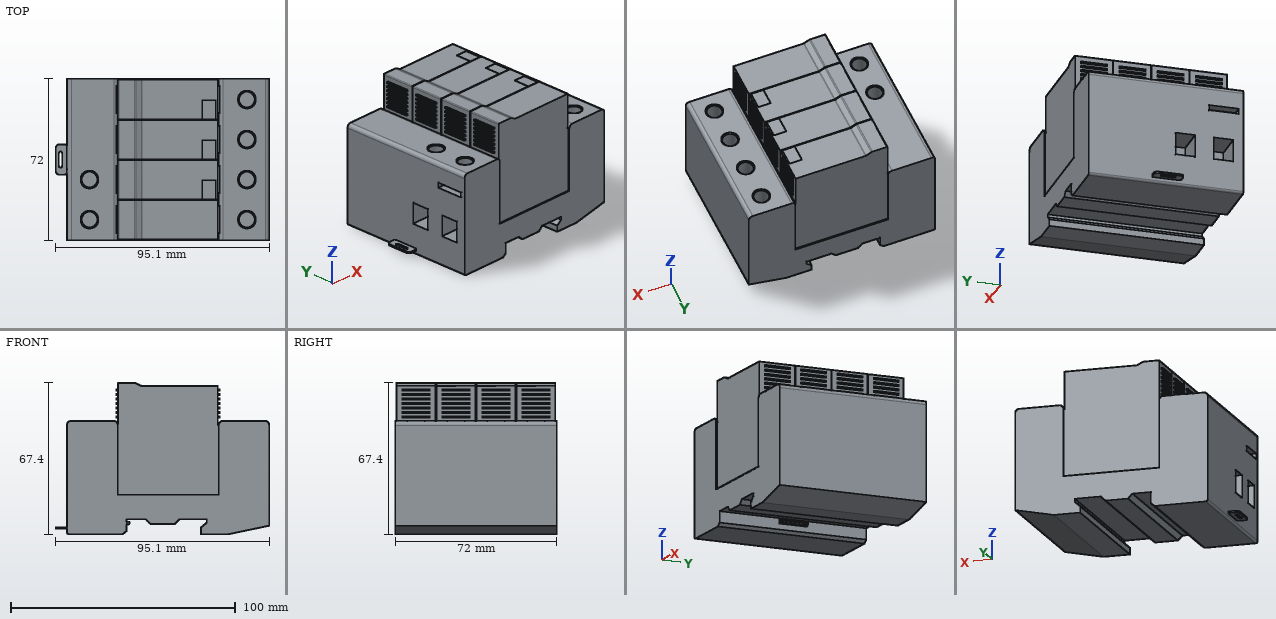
import cadquery as cq

TAB_REACH = 5.0
OVERALL_LENGTH = 95.08
BODY_LENGTH = OVERALL_LENGTH - TAB_REACH
BODY_WIDTH = 72.0
BODY_HEIGHT = 50.5
OVERALL_HEIGHT = 67.4
TOP_EDGE_RADIUS = 1.9
BOTTOM_EDGE_RADIUS = 1.0

CRADLE_LEFT = 22.75
CRADLE_LENGTH = 44.8
CRADLE_RIGHT = CRADLE_LEFT + CRADLE_LENGTH
CRADLE_FLOOR = 17.6

RAIL_ROOF = 6.6
RAIL_LEFT = 26.6
RAIL_RIGHT = 62.2
RAIL_LEFT_CHAMFER_LENGTH = 1.8
RAIL_LEFT_CHAMFER_HEIGHT = 1.4
RAIL_LIP_X = 59.7
RAIL_LIP_HEIGHT = 3.1
RAIL_LIP_TOP = 5.2
PAD_LEFT = 35.2
PAD_RIGHT = 50.1
PAD_DROP = 2.1
SLOPE_START_X = 72.0
SLOPE_END_HEIGHT = 3.8

MODULE_COUNT = 4
MODULE_GAP = 0.4
MODULE_PITCH = 17.8
MODULE_WIDTH = MODULE_PITCH - MODULE_GAP
MODULE_LENGTH = 44.45
MODULE_RIGHT = CRADLE_LEFT + MODULE_LENGTH
MODULE_LOW_TOP = 66.0
MODULE_STEP_HEIGHT = 48.7
RAMP_START_X = 30.4
RAMP_END_X = 33.3
MODULE_EDGE_RADIUS = 0.4
RAMP_TOP_RADIUS = 1.4
RAMP_FOOT_RADIUS = 0.5

RIB_COUNT = 7
RIB_PITCH = 2.0
RIB_LOWEST = 52.2
RIB_THICKNESS = 0.6
RIB_REACH = 0.75
RIB_WIDTH = 12.1

WINDOW_LEFT = 60.3
WINDOW_LENGTH = 6.0
WINDOW_WIDTH = 8.3
WINDOW_DEPTH = 0.1

SCREW_LEFT_X = 10.1
SCREW_RIGHT_X = 80.1
SCREW_DIAMETER = 7.0
SCREW_CHAMFER = 0.5
SCREW_DEPTH = 20.0
LEFT_TERMINALS = 2
ENTRY_WIDTH = 9.1
ENTRY_BOTTOM = 14.9
ENTRY_HEIGHT = 10.5
ENTRY_DEPTH = 15.0

SLOT_CENTER_Y = -26.85
SLOT_WIDTH = 13.9
SLOT_BOTTOM = 38.35
SLOT_HEIGHT = 2.5
SLOT_DEPTH = 5.0

TAB_EMBEDDED = 0.6
TAB_WIDTH = 13.6
TAB_BOTTOM = 2.4
TAB_THICKNESS = 0.8
TAB_CORNER_RADIUS = 1.8
TAB_SLOT_X = -2.8
TAB_SLOT_LENGTH = 7.0
TAB_SLOT_WIDTH = 1.4
CATCH_BOTTOM = 4.1
CATCH_TOP = 5.7
CATCH_REACH = 1.4
CATCH_NOSE_LENGTH = 0.3
CATCH_NOSE_HEIGHT = 5.2
CATCH_SHOULDER_HEIGHT = 4.5

OVERLAP = 1.0

PICK_REACH = 0.05


def box(x, y, z, length, width, height):
    """Box with its low X and low Z corner at x, z and centred on y."""
    return cq.Workplane("XY").box(length, width, height, centered=(False, True, False)).translate((x, y, z))


def row_y(index):
    """Y of the middle of a module, counted from the -Y side."""
    return (index - (MODULE_COUNT - 1) / 2) * MODULE_PITCH


def extrude_along_y(points, center_y, width):
    """Prism with an X-Z outline, centred on center_y."""
    return cq.Workplane("XZ", origin=(0, center_y + width / 2, 0)).polyline(points).close().extrude(width)


def round_edge(solid, x, z, radius):
    """Round the edge that runs along Y through x, z."""
    picker = cq.selectors.BoxSelector(
        (x - PICK_REACH, -BODY_WIDTH, z - PICK_REACH),
        (x + PICK_REACH, BODY_WIDTH, z + PICK_REACH),
    )
    return solid.edges("|Y").edges(picker).fillet(radius)


def make_body():
    outline = [
        (0, 0),
        (RAIL_LEFT - RAIL_LEFT_CHAMFER_LENGTH, 0),
        (RAIL_LEFT, RAIL_LEFT_CHAMFER_HEIGHT),
        (RAIL_LEFT, RAIL_ROOF),
        (PAD_LEFT, RAIL_ROOF),
        (PAD_LEFT + PAD_DROP, RAIL_ROOF - PAD_DROP),
        (PAD_RIGHT - PAD_DROP, RAIL_ROOF - PAD_DROP),
        (PAD_RIGHT, RAIL_ROOF),
        (RAIL_RIGHT, RAIL_ROOF),
        (RAIL_RIGHT, RAIL_LIP_TOP),
        (RAIL_LIP_X, RAIL_LIP_HEIGHT),
        (RAIL_LIP_X, 0),
        (SLOPE_START_X, 0),
        (BODY_LENGTH, SLOPE_END_HEIGHT),
        (BODY_LENGTH, BODY_HEIGHT),
        (CRADLE_RIGHT, BODY_HEIGHT),
        (CRADLE_RIGHT, CRADLE_FLOOR),
        (CRADLE_LEFT, CRADLE_FLOOR),
        (CRADLE_LEFT, BODY_HEIGHT),
        (0, BODY_HEIGHT),
    ]
    body = extrude_along_y(outline, 0, BODY_WIDTH)
    for x in (0, CRADLE_LEFT, CRADLE_RIGHT, BODY_LENGTH):
        body = round_edge(body, x, BODY_HEIGHT, TOP_EDGE_RADIUS)
    return round_edge(body, 0, 0, BOTTOM_EDGE_RADIUS)


def make_module(center_y):
    outline = [
        (CRADLE_LEFT, CRADLE_FLOOR),
        (CRADLE_RIGHT, CRADLE_FLOOR),
        (CRADLE_RIGHT, MODULE_STEP_HEIGHT),
        (MODULE_RIGHT, MODULE_STEP_HEIGHT),
        (MODULE_RIGHT, MODULE_LOW_TOP),
        (RAMP_END_X, MODULE_LOW_TOP),
        (RAMP_START_X, OVERALL_HEIGHT),
        (CRADLE_LEFT, OVERALL_HEIGHT),
    ]
    module = extrude_along_y(outline, center_y, MODULE_WIDTH)
    module = round_edge(module, CRADLE_LEFT, OVERALL_HEIGHT, MODULE_EDGE_RADIUS)
    module = round_edge(module, RAMP_START_X, OVERALL_HEIGHT, RAMP_TOP_RADIUS)
    module = round_edge(module, RAMP_END_X, MODULE_LOW_TOP, RAMP_FOOT_RADIUS)
    for level in range(RIB_COUNT):
        rib_z = RIB_LOWEST + level * RIB_PITCH - RIB_THICKNESS / 2
        rib_length = MODULE_LENGTH + 2 * RIB_REACH
        rib = box(CRADLE_LEFT - RIB_REACH, center_y, rib_z, rib_length, RIB_WIDTH, RIB_THICKNESS)
        module = module.union(rib)
    return module


def cut_window(module, center_y):
    """Shallow indicator window in the module top, against its -Y side."""
    window_y = center_y - MODULE_WIDTH / 2 + WINDOW_WIDTH / 2
    window_z = MODULE_LOW_TOP - WINDOW_DEPTH
    return module.cut(box(WINDOW_LEFT, window_y, window_z, WINDOW_LENGTH, WINDOW_WIDTH, OVERLAP))


def cut_screw_hole(body, x, y):
    hole_radius = SCREW_DIAMETER / 2
    bottom = BODY_HEIGHT - SCREW_DEPTH
    hole = (
        cq.Workplane("XZ")
        .polyline([
            (0, bottom),
            (hole_radius, bottom),
            (hole_radius, BODY_HEIGHT - SCREW_CHAMFER),
            (hole_radius + SCREW_CHAMFER, BODY_HEIGHT),
            (0, BODY_HEIGHT),
        ])
        .close()
        .revolve(360, (0, 0, 0), (0, 1, 0))
    )
    return body.cut(hole.translate((x, y, 0)))


def cut_terminals(body):
    for index in range(MODULE_COUNT):
        body = cut_screw_hole(body, SCREW_RIGHT_X, row_y(index))
    for index in range(LEFT_TERMINALS):
        body = cut_screw_hole(body, SCREW_LEFT_X, row_y(index))
        body = body.cut(box(0, row_y(index), ENTRY_BOTTOM, ENTRY_DEPTH, ENTRY_WIDTH, ENTRY_HEIGHT))
    return body


def make_tab():
    tab = box(-TAB_REACH, 0, TAB_BOTTOM, TAB_REACH + TAB_EMBEDDED, TAB_WIDTH, TAB_THICKNESS)
    tab = tab.edges("|Z").fillet(TAB_CORNER_RADIUS)
    slot = (
        cq.Workplane("XY", origin=(TAB_SLOT_X, 0, TAB_BOTTOM))
        .slot2D(TAB_SLOT_LENGTH, TAB_SLOT_WIDTH, 90)
        .extrude(TAB_THICKNESS)
    )
    return tab.cut(slot)


def make_catch():
    outline = [
        (RAIL_LEFT - OVERLAP, CATCH_BOTTOM),
        (RAIL_LEFT, CATCH_BOTTOM),
        (RAIL_LEFT + CATCH_REACH - CATCH_NOSE_LENGTH, CATCH_SHOULDER_HEIGHT),
        (RAIL_LEFT + CATCH_REACH, CATCH_NOSE_HEIGHT),
        (RAIL_LEFT + CATCH_REACH - CATCH_NOSE_LENGTH, CATCH_TOP),
        (RAIL_LEFT - OVERLAP, CATCH_TOP),
    ]
    return extrude_along_y(outline, 0, TAB_WIDTH)


def cut_slot(body):
    return body.cut(box(0, SLOT_CENTER_Y, SLOT_BOTTOM, SLOT_DEPTH, SLOT_WIDTH, SLOT_HEIGHT))


part = cut_slot(cut_terminals(make_body()))
part = part.union(make_tab()).union(make_catch())

for index in range(MODULE_COUNT):
    module = make_module(row_y(index))
    if index > 0:
        module = cut_window(module, row_y(index))
    part = part.union(module)

result = part